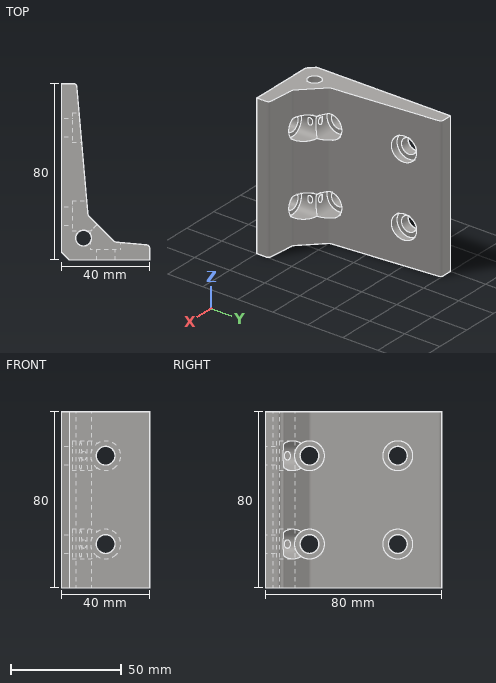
import cadquery as cq

short_leg = 40.0
long_leg = 80.0
height = 80.0

corner_chamfer = 3.5
tip_thickness = 6.9
long_root = (12.1, 20.3)
short_root = (24.1, 8.3)
tip_radius = 1.6
root_radius = 2.0

bolt_diameter = 8.4
bolt_pitch = 40.0
spotface_diameter = 13.5
spotface_floor = 5.0
pin_diameter = 7.0
pin_offset = 10.0

bolt_levels = (height / 2 - bolt_pitch / 2, height / 2 + bolt_pitch / 2)
long_leg_positions = (long_leg / 2 - bolt_pitch / 2, long_leg / 2 + bolt_pitch / 2)
short_leg_position = short_leg / 2


def edges_at(x, y):
    """Select the vertical edge that passes through (x, y)."""
    margin = 0.1
    return cq.selectors.BoxSelector(
        (x - margin, y - margin, -margin), (x + margin, y + margin, height + margin)
    )


body = (
    cq.Workplane("XY")
    .moveTo(corner_chamfer, 0)
    .lineTo(short_leg, 0)
    .lineTo(short_leg, tip_thickness)
    .lineTo(*short_root)
    .lineTo(*long_root)
    .lineTo(tip_thickness, long_leg)
    .lineTo(0, long_leg)
    .lineTo(0, corner_chamfer)
    .close()
    .extrude(height)
)
for tip in ((short_leg, tip_thickness), (tip_thickness, long_leg)):
    body = body.edges(edges_at(*tip)).fillet(tip_radius)
for root in (short_root, long_root):
    body = body.edges(edges_at(*root)).fillet(root_radius)


def bolt_cutters(plane, points, direction, length):
    """Make bolt holes from the outer face, widened to spotfaces on the inner side."""
    holes = (
        cq.Workplane(plane)
        .pushPoints(points)
        .circle(bolt_diameter / 2)
        .extrude(direction * length)
    )
    spotfaces = (
        cq.Workplane(plane)
        .workplane(offset=direction * spotface_floor)
        .pushPoints(points)
        .circle(spotface_diameter / 2)
        .extrude(direction * (length - spotface_floor))
    )
    return holes.union(spotfaces)


long_leg_points = [(y, z) for y in long_leg_positions for z in bolt_levels]
long_leg_holes = bolt_cutters("YZ", long_leg_points, 1, short_leg)

short_leg_points = [(short_leg_position, z) for z in bolt_levels]
short_leg_holes = bolt_cutters("XZ", short_leg_points, -1, long_leg)

pin_hole = (
    cq.Workplane("XY")
    .center(pin_offset, pin_offset)
    .circle(pin_diameter / 2)
    .extrude(height)
)

result = body.cut(long_leg_holes).cut(short_leg_holes).cut(pin_hole)